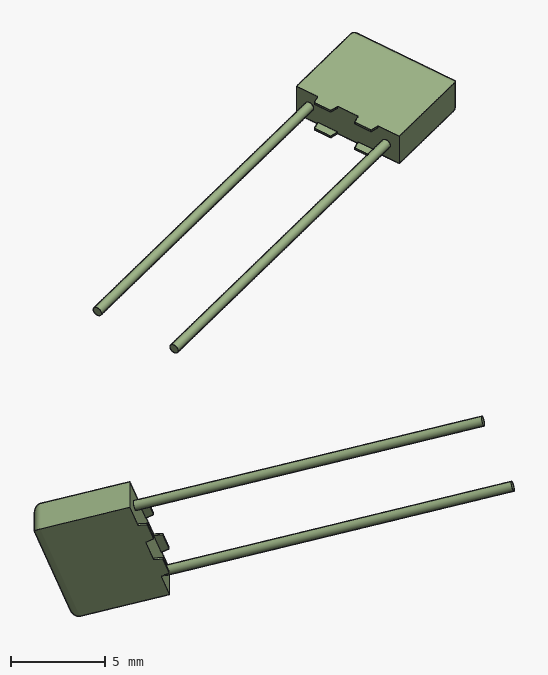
import cadquery as cq

TOTAL_LENGTH = 25.0
CASE_WIDTH = 6.7
CASE_LENGTH = 5.5
CASE_HEIGHT = 2.0
END_ROUNDING = 0.5

FOOT_SPACING = 2.62
FOOT_BASE_WIDTH = 1.3
FOOT_TIP_WIDTH = 1.08
FOOT_PROJECTION = 0.48
FOOT_THICKNESS = 0.12

LEAD_SPACING = 5.0
LEAD_DIAMETER = 0.55
LEAD_LENGTH = TOTAL_LENGTH - CASE_LENGTH


def make_foot(center_x, bottom_z):
    """Flat tapered foot that reaches out from the lead face, which lies at Y = 0."""
    return (
        cq.Workplane("XY")
        .workplane(offset=bottom_z)
        .polyline([
            (center_x - FOOT_BASE_WIDTH / 2, 0),
            (center_x + FOOT_BASE_WIDTH / 2, 0),
            (center_x + FOOT_TIP_WIDTH / 2, -FOOT_PROJECTION),
            (center_x - FOOT_TIP_WIDTH / 2, -FOOT_PROJECTION),
        ])
        .close()
        .extrude(FOOT_THICKNESS)
    )


def make_case():
    """Box with a rounded far end and four feet, two along each broad side."""
    case = (
        cq.Workplane("XY")
        .box(CASE_WIDTH, CASE_LENGTH, CASE_HEIGHT, centered=(True, False, True))
        .faces(">Y")
        .edges()
        .fillet(END_ROUNDING)
    )
    for center_x in (-FOOT_SPACING / 2, FOOT_SPACING / 2):
        for bottom_z in (-CASE_HEIGHT / 2, CASE_HEIGHT / 2 - FOOT_THICKNESS):
            case = case.union(make_foot(center_x, bottom_z))
    return case


def make_lead(center_x):
    """Straight round wire that starts on the lead face and runs toward -Y."""
    return (
        cq.Workplane("XZ")
        .center(center_x, 0)
        .circle(LEAD_DIAMETER / 2)
        .extrude(LEAD_LENGTH)
    )


case = make_case()
leads = [make_lead(center_x) for center_x in (-LEAD_SPACING / 2, LEAD_SPACING / 2)]

result = cq.Compound.makeCompound([case.val(), *[lead.val() for lead in leads]])